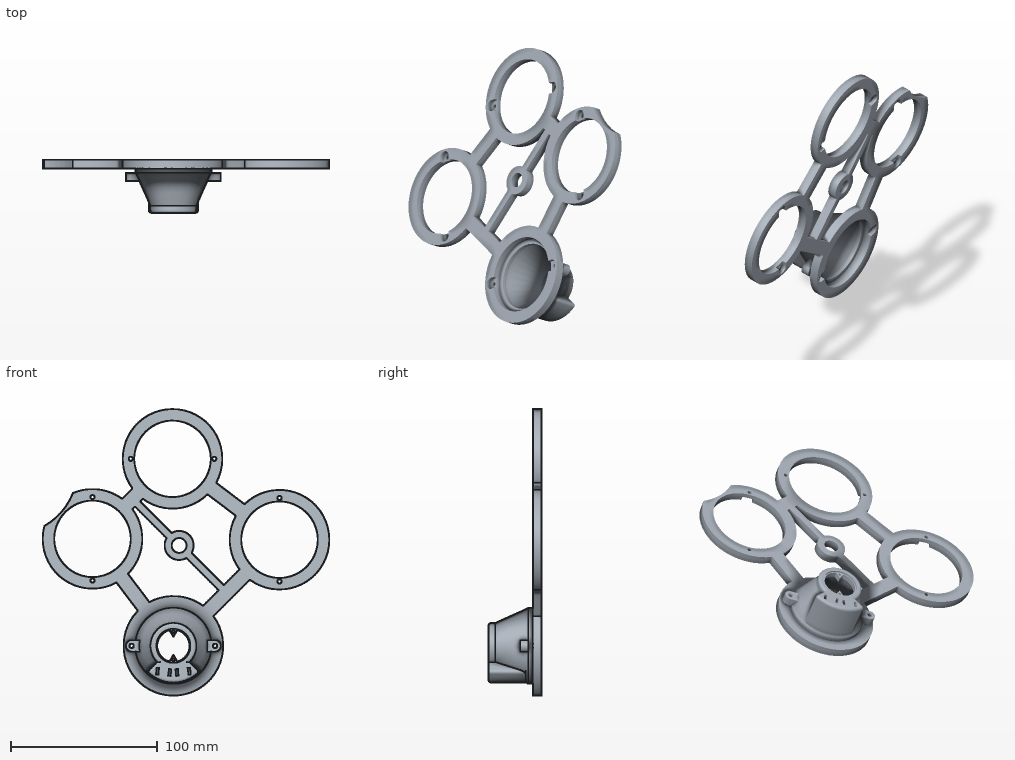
import cadquery as cq
import math


plate_thickness = 6.0
ring_outer_radius = 34.0
ring_bore_radius = 26.0
near_ring_reach = 59.0
near_ring_shift = 4.5
far_ring_reach = 68.3
far_ring_shift = 3.9
left_ring = (-near_ring_reach, near_ring_shift)
top_ring = (-near_ring_shift, near_ring_reach)
right_ring = (far_ring_reach, far_ring_shift)
bottom_ring = (-far_ring_shift, -far_ring_reach)
ring_loop = [left_ring, top_ring, right_ring, bottom_ring]

arm_width = 10.0
hub_radius = 10.0
hub_bore_radius = 10.0 / 2
spoke_width = 5.0

screw_spacing = 56.8
screw_hole_diameter = 2.7
screw_angles = {left_ring: 90, top_ring: 0, right_ring: 90, bottom_ring: 0}

notch_radius = 44.0
notch_offset = (-54.5, 47.2)

housing_length = 30.2
collar_radius = ring_bore_radius
collar_length = 3.0
cone_start = 4.7
cone_end = 25.4
cone_base_radius = 25.0
nozzle_radius = 15.6
rim_fillet = 2.0
cavity_radius = 45.5 / 2
throat_radius = 11.0
mouth_radius = 23.2 / 2
mouth_depth = 1.2

ear_width = 7.8
ear_thickness = 5.7
ear_hole_diameter = 3.1

pocket_depth = collar_length

sector_half_angle = 45

post_tip_radius = 6.0
post_half_angle = 30
post_root_overlap = 1.0
post_hole_diameter = 1.8
post_hole_radius = 9.5

tie_centre = (6.6, -17.65)
tie_outer_radius = 5.0
tie_inner_radius = 3.3
tie_width = 4.7
tie_tilt = 6


def front_plane(y, centre):
    """Plane facing -Y at the given Y; local x is X and local y is Z."""
    return cq.Workplane("XZ", origin=(centre[0], y, centre[1]))


def bar(start, end, width, thickness):
    """Straight flat bar of the plate between two points."""
    run = (end[0] - start[0], end[1] - start[1])
    middle = ((start[0] + end[0]) / 2, (start[1] + end[1]) / 2)
    return (
        front_plane(0, middle)
        .transformed(rotate=(0, 0, math.degrees(math.atan2(run[1], run[0]))))
        .rect(math.hypot(*run), width)
        .extrude(-thickness)
    )


def tab_profile(plane, width, spacing):
    """Two round-ended tabs on one line across the centre, as a single long slot."""
    return plane.slot2D(spacing + width, width)


def make_plate():
    plate = front_plane(0, (0, 0)).circle(hub_radius).extrude(-plate_thickness)
    for index, centre in enumerate(ring_loop):
        following = ring_loop[(index + 1) % len(ring_loop)]
        plate = plate.union(front_plane(0, centre).circle(ring_outer_radius).extrude(-plate_thickness))
        plate = plate.union(bar(centre, following, arm_width, plate_thickness))

    upper_arm_middle = tuple((a + b) / 2 for a, b in zip(left_ring, top_ring))
    lower_arm_middle = tuple((a + b) / 2 for a, b in zip(right_ring, bottom_ring))
    plate = plate.union(bar(upper_arm_middle, lower_arm_middle, spoke_width, plate_thickness))
    plate = plate.cut(front_plane(0, (0, 0)).circle(hub_bore_radius).extrude(-plate_thickness))

    for centre in ring_loop:
        face = front_plane(0, centre).transformed(rotate=(0, 0, screw_angles[centre]))
        back = front_plane(plate_thickness, centre).transformed(rotate=(0, 0, screw_angles[centre]))
        plate = plate.cut(face.circle(ring_bore_radius).extrude(-plate_thickness))
        plate = plate.cut(
            face.pushPoints([(-screw_spacing / 2, 0), (screw_spacing / 2, 0)])
            .circle(screw_hole_diameter / 2)
            .extrude(-plate_thickness)
        )
        plate = plate.cut(tab_profile(back, ear_width, screw_spacing).extrude(pocket_depth))

    notch_centre = (left_ring[0] + notch_offset[0], left_ring[1] + notch_offset[1])
    return plate.cut(front_plane(0, notch_centre).circle(notch_radius).extrude(-plate_thickness))


def housing_plane(distance):
    """Plane facing -Y on the housing axis, the given distance in front of the plate."""
    return front_plane(-distance, bottom_ring)


def turned(points):
    """Solid of revolution about the housing axis from (radius, distance from plate) points."""
    return (
        cq.Workplane("XY", origin=(bottom_ring[0], 0, bottom_ring[1]))
        .polyline([(radius, -distance) for radius, distance in points])
        .close()
        .revolve(360, (0, 0, 0), (0, 1, 0))
    )


def make_shell():
    """Collar, cone and nozzle, still without the cavity."""
    return turned([
        (0, 0), (collar_radius, 0), (collar_radius, collar_length), (cone_base_radius, cone_start),
        (nozzle_radius, cone_end), (nozzle_radius, housing_length), (0, housing_length),
    ])


def make_sector():
    """Wedge-shaped block under the cone."""
    corner = cone_base_radius * math.sin(math.radians(sector_half_angle))
    block = (
        housing_plane(cone_start)
        .moveTo(0, 0)
        .lineTo(-corner, -corner)
        .threePointArc((0, -cone_base_radius), (corner, -corner))
        .close()
        .extrude(housing_length - cone_start)
    )
    return block.edges("|Y").edges("<X or >X").fillet(rim_fillet)


def make_ears():
    return tab_profile(housing_plane(collar_length), ear_width, screw_spacing).extrude(ear_thickness)


def make_cavity():
    """Conical hollow, throat and the slightly wider mouth."""
    return turned([
        (0, 0), (cavity_radius, 0), (cavity_radius, collar_length), (throat_radius, cone_end),
        (throat_radius, housing_length - mouth_depth), (mouth_radius, housing_length - mouth_depth),
        (mouth_radius, housing_length), (0, housing_length),
    ])


def make_post():
    """Triangular post with a small hole, pointing from the throat wall to the housing axis."""
    post_length = housing_length - mouth_depth - cone_end
    root_radius = throat_radius + post_root_overlap
    half_width = (root_radius - post_tip_radius) * math.tan(math.radians(post_half_angle))
    hole = (
        housing_plane(cone_end)
        .center(0, post_hole_radius)
        .circle(post_hole_diameter / 2)
        .extrude(post_length)
    )
    return (
        housing_plane(cone_end)
        .polyline([(0, post_tip_radius), (half_width, root_radius), (-half_width, root_radius)])
        .close()
        .extrude(post_length)
        .cut(hole)
    )


def make_tie(side):
    """Ring-shaped channel for a cable tie, entering and leaving through the front face."""
    loop = (
        cq.Workplane("XY")
        .circle(tie_outer_radius)
        .circle(tie_inner_radius)
        .extrude(tie_width / 2, both=True)
        .rotate((0, 0, 0), (0, 1, 0), -side * tie_tilt)
    )
    return loop.translate((
        bottom_ring[0] + side * tie_centre[0],
        -housing_length,
        bottom_ring[1] + tie_centre[1],
    ))


def make_housing():
    housing = make_shell().union(make_sector())
    housing = housing.faces("<Y").edges().fillet(rim_fillet)
    housing = housing.union(make_ears()).cut(make_cavity())
    holes = housing_plane(collar_length).pushPoints([(-screw_spacing / 2, 0), (screw_spacing / 2, 0)])
    housing = housing.cut(holes.circle(ear_hole_diameter / 2).extrude(ear_thickness))
    axis_start = (bottom_ring[0], 0, bottom_ring[1])
    axis_end = (bottom_ring[0], 1, bottom_ring[1])
    for angle in (0, 180):
        housing = housing.union(make_post().rotate(axis_start, axis_end, angle))
    for side in (-1, 1):
        housing = housing.cut(make_tie(side))
    return housing


plate = make_plate()
housing = make_housing()
result = cq.Compound.makeCompound([plate.val(), housing.val()])